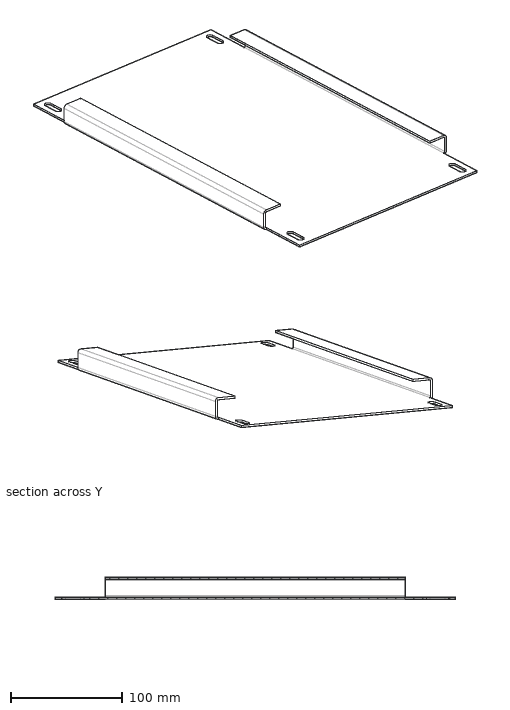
import cadquery as cq

plate_length = 360.0
overall_width = 220.0
flange_height = 20.0

sheet = 2.0
inner_radius = 1.2
outer_radius = inner_radius + sheet

flange_length = 270.0
lip_width = 20.0

slot_length = 20.0
slot_width = 6.5
slot_end_margin = 6.0
slot_row_spacing = 195.0

plate_width = overall_width - 2 * outer_radius
slot_column_spacing = plate_length - 2 * slot_end_margin - slot_length


def make_plate():
    """Flat base plate with its underside on Z = 0."""
    return cq.Workplane("XY").box(plate_length, plate_width, sheet, centered=(True, True, False))


def make_folded_channel():
    """C-shaped channel: base, two upright walls and two lips turned inward."""
    inner_width = overall_width - 2 * sheet
    inner_height = flange_height - 2 * sheet
    lip_gap = overall_width - 2 * lip_width

    outside = (
        cq.Workplane("XY")
        .box(flange_length, overall_width, flange_height, centered=(True, True, False))
        .edges("|X")
        .fillet(outer_radius)
    )
    inside = (
        cq.Workplane("XY")
        .workplane(offset=sheet)
        .box(flange_length, inner_width, inner_height, centered=(True, True, False))
        .edges("|X")
        .fillet(inner_radius)
    )
    opening = (
        cq.Workplane("XY")
        .workplane(offset=sheet)
        .box(flange_length, lip_gap, flange_height, centered=(True, True, False))
    )
    return outside.cut(inside).cut(opening)


def cut_mounting_slots(body):
    """Round-ended slots through the plate, one in each corner."""
    slots = (
        cq.Workplane("XY")
        .rarray(slot_column_spacing, slot_row_spacing, 2, 2)
        .slot2D(slot_length, slot_width)
        .extrude(sheet)
    )
    return body.cut(slots)


result = cut_mounting_slots(make_plate().union(make_folded_channel()))